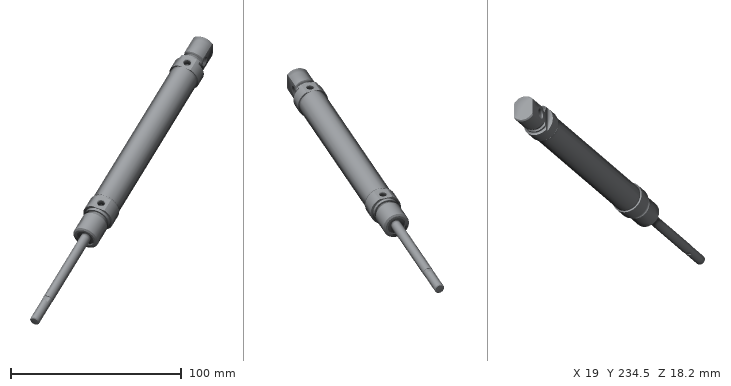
import cadquery as cq


rear_end = 117.2
rear_neck_end = 103.0
rear_neck_start = 100.8
rear_flange_end = 99.2
flat_end = 97.3
rear_flange_start = 90.3
front_flange_start = -20.0
front_flange_end = -29.0
front_ring_end = -30.7
nose_start = -33.3
nose_end = -47.0
thread_start = -98.5
rod_end = rear_end - 234.5
collar_length = 1.5

barrel_diameter = 17.4
collar_diameter = 17.1
flange_diameter = 19.0
nose_diameter = 16.0
neck_diameter = 13.5
rod_diameter = 6.0
thread_diameter = 5.9

edge_chamfer = 0.7
tip_chamfer = 0.5
clevis_width = 12.0
pivot_diameter = 6.0
pivot_y = 106.2
port_flat_height = collar_diameter / 2
port_diameter = 4.2
port_rim_diameter = 5.0
port_depth = 4.0
rear_port_y = 94.7
front_port_y = -24.6
recess_diameter = 11.0
recess_depth = 1.5
nose_rim_inset = 1.2
wrench_flat_width = 5.0
wrench_flat_length = 3.5

barrel_start = front_flange_start + collar_length
barrel_end = rear_flange_start - collar_length


def turned(profile):
    """Revolve (radius, y) points, closed along the axis, about the Y axis."""
    first_y = profile[0][1]
    last_y = profile[-1][1]
    points = [(0, first_y), *profile, (0, last_y)]
    return cq.Workplane("XY").polyline(points).close().revolve(360, (0, 0), (0, 1))


def cylinder(diameter, y_start, y_end):
    """Cylinder on the Y axis between two stations."""
    radius = diameter / 2
    return turned([(radius, y_start), (radius, y_end)])


def cut_port(cap, port_y, flange_start, flange_end):
    """Mill the flat across the top of a flange and drill its countersunk air port."""
    flange_radius = flange_diameter / 2
    flat_cutter = cq.Workplane("XY").box(
        flange_diameter, abs(flange_end - flange_start), flange_radius, centered=(True, True, False)
    ).translate((0, (flange_start + flange_end) / 2, port_flat_height))
    rim_depth = (port_rim_diameter - port_diameter) / 2
    bore_radius = port_diameter / 2
    rim_radius = port_rim_diameter / 2
    bottom = port_flat_height - port_depth
    port = (
        cq.Workplane("XZ")
        .polyline([
            (0, bottom),
            (bore_radius, bottom),
            (bore_radius, port_flat_height - rim_depth),
            (rim_radius, port_flat_height),
            (0, port_flat_height),
        ])
        .close()
        .revolve(360, (0, 0), (0, 1))
        .translate((0, port_y, 0))
    )
    return cap.cut(flat_cutter).cut(port)


def make_barrel():
    return cylinder(barrel_diameter, barrel_start, barrel_end)


def make_rear_cap():
    collar_radius = collar_diameter / 2
    flange_radius = flange_diameter / 2
    block_radius = nose_diameter / 2
    neck_radius = neck_diameter / 2
    cap = turned([
        (collar_radius, barrel_end),
        (collar_radius, rear_flange_start),
        (flange_radius, rear_flange_start),
        (flange_radius, rear_flange_end),
        (block_radius, rear_flange_end),
        (block_radius, rear_neck_start),
        (neck_radius, rear_neck_start),
        (neck_radius, rear_neck_end),
        (block_radius, rear_neck_end + edge_chamfer),
        (block_radius, rear_end - edge_chamfer),
        (block_radius - edge_chamfer, rear_end),
    ])
    cap = cut_port(cap, rear_port_y, rear_flange_start, rear_flange_end)
    for side in (-1, 1):
        flat_length = rear_end - flat_end
        cutter = cq.Workplane("XY").box(flange_diameter, flat_length, flange_diameter)
        offset_x = side * (clevis_width + flange_diameter) / 2
        cap = cap.cut(cutter.translate((offset_x, flat_end + flat_length / 2, 0)))
    pivot_hole = (
        cq.Workplane("YZ").center(pivot_y, 0).circle(pivot_diameter / 2).extrude(clevis_width, both=True)
    )
    return cap.cut(pivot_hole)


def make_front_cap():
    collar_radius = collar_diameter / 2
    flange_radius = flange_diameter / 2
    nose_radius = nose_diameter / 2
    neck_radius = neck_diameter / 2
    cap = turned([
        (collar_radius, barrel_start),
        (collar_radius, front_flange_start),
        (flange_radius, front_flange_start),
        (flange_radius, front_flange_end),
        (nose_radius, front_flange_end),
        (nose_radius, front_ring_end),
        (neck_radius, front_ring_end),
        (neck_radius, nose_start + edge_chamfer),
        (nose_radius, nose_start),
        (nose_radius, nose_end + edge_chamfer),
        (nose_radius - nose_rim_inset, nose_end),
    ])
    cap = cut_port(cap, front_port_y, front_flange_start, front_flange_end)
    cap = cap.cut(cylinder(recess_diameter, nose_end, nose_end + recess_depth))
    return cap.cut(cylinder(rod_diameter, nose_end, barrel_start))


def make_rod():
    rod_radius = rod_diameter / 2
    thread_radius = thread_diameter / 2
    rod = turned([
        (rod_radius, barrel_start),
        (rod_radius, thread_start),
        (thread_radius, thread_start),
        (thread_radius, rod_end + tip_chamfer),
        (thread_radius - tip_chamfer, rod_end),
    ])
    for side in (-1, 1):
        cutter = cq.Workplane("XY").box(rod_diameter, wrench_flat_length, rod_diameter)
        offset_z = side * (wrench_flat_width + rod_diameter) / 2
        rod = rod.cut(cutter.translate((0, thread_start - wrench_flat_length / 2, offset_z)))
    return rod


barrel = make_barrel()
rear_cap = make_rear_cap()
front_cap = make_front_cap()
rod = make_rod()

result = cq.Compound.makeCompound([barrel.val(), rear_cap.val(), front_cap.val(), rod.val()])